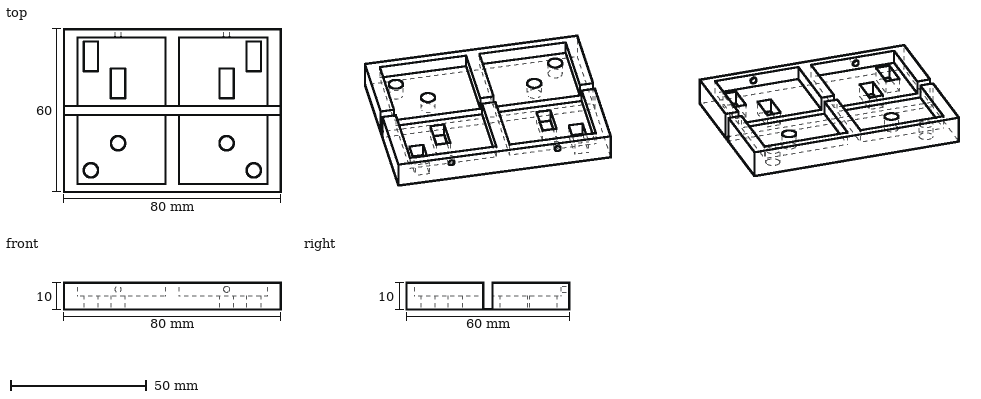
import cadquery as cq

length = 80.0
width = 60.0
height = 10.0

pocket_length = 32.5
pocket_width = 54.0
pocket_depth = height / 2
side_wall = (length - 2 * pocket_length) / 3
end_wall = (width - pocket_width) / 2
pocket_x = (pocket_length + side_wall) / 2
pocket_floor = height - pocket_depth

slot_width = 3.3
slot_floor = 0.3

hole_diameter = 5.2
window_length = hole_diameter
window_width = 10.9
outer_x = 30.0
inner_x = 20.0
outer_window_y = 20.0
inner_window_y = 10.0
outer_hole_y = -22.0
inner_hole_y = -12.0

cross_hole_diameter = 2.2
cross_hole_z = pocket_floor + pocket_depth / 2


def mirrored_points(x, y):
    """Pair of points mirrored about the YZ plane."""
    return [(-x, y), (x, y)]


def upward_box(size_x, size_y, bottom, points):
    """Boxes from the bottom height up to the top face, centred on the points."""
    return (
        cq.Workplane("XY", origin=(0, 0, bottom))
        .pushPoints(points)
        .rect(size_x, size_y)
        .extrude(height - bottom)
    )


block = upward_box(length, width, 0, [(0, 0)])
pockets = upward_box(pocket_length, pocket_width, pocket_floor, mirrored_points(pocket_x, 0))
slot = upward_box(length, slot_width, slot_floor, [(0, 0)])

window_points = mirrored_points(outer_x, outer_window_y) + mirrored_points(inner_x, inner_window_y)
windows = upward_box(window_length, window_width, 0, window_points)

hole_points = mirrored_points(outer_x, outer_hole_y) + mirrored_points(inner_x, inner_hole_y)
floor_holes = (
    cq.Workplane("XY")
    .pushPoints(hole_points)
    .circle(hole_diameter / 2)
    .extrude(pocket_floor)
)

cross_holes = (
    cq.Workplane("XZ", origin=(0, width / 2, 0))
    .pushPoints(mirrored_points(inner_x, cross_hole_z))
    .circle(cross_hole_diameter / 2)
    .extrude(end_wall)
)

result = block.cut(pockets).cut(slot).cut(windows).cut(floor_holes).cut(cross_holes)